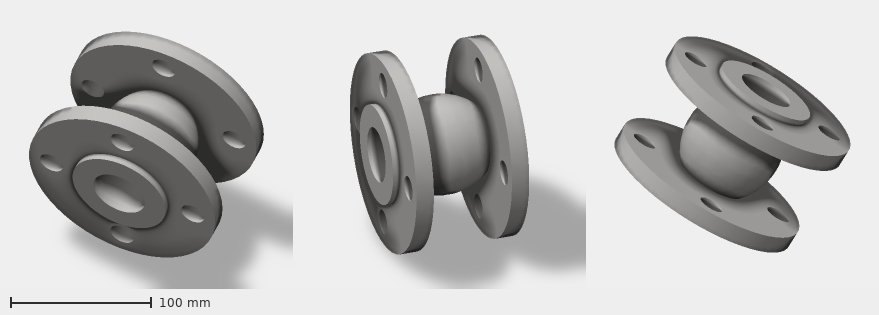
import cadquery as cq

overall_length = 95.0
bore_diameter = 40.0

flange_diameter = 145.0
flange_thickness = 13.0
face_diameter = flange_diameter / 2
face_height = 5.1

bolt_hole_diameter = 18.0
bolt_circle_diameter = 110.0
bolt_count = 4

body_diameter = 72.5
body_end_diameter = 51.0

half_length = overall_length / 2
flange_outer_y = half_length - face_height
flange_inner_y = flange_outer_y - flange_thickness


def revolved_blank():
    """Body, flanges and raised faces turned about the Y axis."""
    return (
        cq.Workplane("XY")
        .moveTo(0, -half_length)
        .lineTo(face_diameter / 2, -half_length)
        .lineTo(face_diameter / 2, -flange_outer_y)
        .lineTo(flange_diameter / 2, -flange_outer_y)
        .lineTo(flange_diameter / 2, -flange_inner_y)
        .lineTo(body_end_diameter / 2, -flange_inner_y)
        .threePointArc((body_diameter / 2, 0), (body_end_diameter / 2, flange_inner_y))
        .lineTo(flange_diameter / 2, flange_inner_y)
        .lineTo(flange_diameter / 2, flange_outer_y)
        .lineTo(face_diameter / 2, flange_outer_y)
        .lineTo(face_diameter / 2, half_length)
        .lineTo(0, half_length)
        .close()
        .revolve(360, (0, 0, 0), (0, 1, 0))
    )


def bore():
    """Straight passage through the whole length."""
    return cq.Workplane("XZ").circle(bore_diameter / 2).extrude(half_length, both=True)


def bolt_holes():
    """Bolt holes through both flanges, on the X and Z axes."""
    return (
        cq.Workplane("XZ")
        .polarArray(bolt_circle_diameter / 2, 0, 360, bolt_count)
        .circle(bolt_hole_diameter / 2)
        .extrude(half_length, both=True)
    )


result = revolved_blank().cut(bore()).cut(bolt_holes())